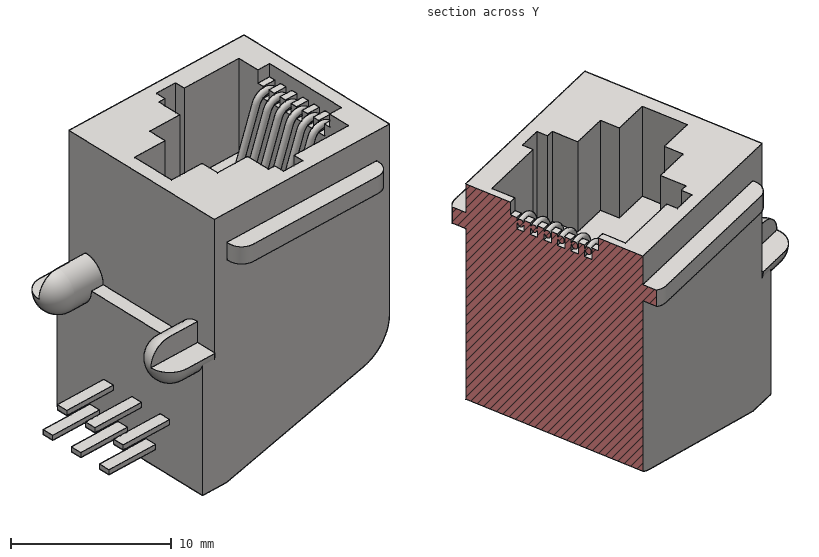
import cadquery as cq
import math


BODY_WIDTH = 13.2
BODY_DEPTH = 15.0
BODY_HEIGHT = 20.57
STEP_Z = 10.4
STEP_DEPTH = 1.0
BOTTOM_FLAT = 2.05
BOTTOM_SLOPE = 15.0
BACK_CORNER_RADIUS = 3.0

FLANGE_SPAN = 15.75
FLANGE_LENGTH = 12.82
FLANGE_HEIGHT = 1.32
FLANGE_TOP_DROP = 2.26
FLANGE_BACK_INSET = 1.11
FLANGE_CORNER_RADIUS = 1.07

PEG_RADIUS = 1.6
PEG_LENGTH = 4.0
PEG_X = 5.08

PIN_WIDTH = 0.86
PIN_THICKNESS = 0.4
PIN_PITCH = 1.28
PIN_COUNT = 6
PIN_TIP_Y = -5.0
PIN_ROOT = 0.1
PIN_ROW_Z = (1.52, 4.07)

CAVITY_DEPTH = 7.14
CAVITY_BACK_Y = 13.02
MAIN_WIDTH = 9.95
MAIN_FRONT_Y = 6.17
EAR_WIDTH = 11.55
EAR_BACK_Y = 8.35
EAR_FRONT_Y = 6.7
SHOULDER_WIDTH = 6.15
SHOULDER_FRONT_Y = 3.6
LATCH_WIDTH = 3.35
LATCH_FRONT_Y = 0.99

RECESS_WIDTH = 6.52
RECESS_BACK_Y = 14.03
RECESS_DEPTH = 1.0
SLOT_WIDTH = 0.51
SLOT_DEPTH = 1.91

WIRE_DIAMETER = 0.5
WIRE_PITCH = 1.0
WIRE_COUNT = 6
WIRE_CREST_DEPTH = 1.2
WIRE_BEND_RADIUS = 0.9
WIRE_SLOPE = 70.0


def box(x_range, y_range, z_range):
    """Box between the given limits."""
    size = [high - low for low, high in (x_range, y_range, z_range)]
    corner = (x_range[0], y_range[0], z_range[0])
    return cq.Workplane("XY").box(*size, centered=False).translate(corner)


def centred_box(width, y_range, z_range):
    """Box centred on X = 0."""
    return box((-width / 2, width / 2), y_range, z_range)


def row_positions(count, pitch):
    """X places of a row centred on X = 0."""
    return [(i - (count - 1) / 2) * pitch for i in range(count)]


def make_body():
    """Side outline across the full width, with the lower back edge rounded."""
    flat_end_y = BOTTOM_FLAT - STEP_DEPTH
    slope_rise = (BODY_DEPTH - flat_end_y) * math.tan(math.radians(BOTTOM_SLOPE))
    side_outline = [
        (-STEP_DEPTH, 0),
        (flat_end_y, 0),
        (BODY_DEPTH, slope_rise),
        (BODY_DEPTH, BODY_HEIGHT),
        (0, BODY_HEIGHT),
        (0, STEP_Z),
        (-STEP_DEPTH, STEP_Z),
    ]
    body = cq.Workplane("YZ").polyline(side_outline).close().extrude(BODY_WIDTH / 2, both=True)
    lower_back_edge = cq.selectors.NearestToPointSelector((0, BODY_DEPTH, slope_rise))
    return body.edges(lower_back_edge).fillet(BACK_CORNER_RADIUS)


def make_flanges():
    """One round-cornered plate through the body, showing as a flange on each side."""
    back_y = BODY_DEPTH - FLANGE_BACK_INSET
    top_z = BODY_HEIGHT - FLANGE_TOP_DROP
    plate = centred_box(FLANGE_SPAN, (back_y - FLANGE_LENGTH, back_y), (top_z - FLANGE_HEIGHT, top_z))
    return plate.edges("|Z").fillet(FLANGE_CORNER_RADIUS)


def make_peg(side):
    """Round-ended peg without its upper outer quarter; side is -1 or 1."""
    shank_length = PEG_LENGTH - PEG_RADIUS
    tip_bulge = PEG_RADIUS * math.sqrt(0.5)
    half_outline = (
        cq.Workplane("XY")
        .moveTo(0, 0)
        .lineTo(side * PEG_RADIUS, 0)
        .lineTo(side * PEG_RADIUS, -shank_length)
        .threePointArc((side * tip_bulge, -shank_length - tip_bulge), (0, -PEG_LENGTH))
        .close()
    )
    peg = half_outline.revolve(270, (0, 0), (0, side))
    return peg.translate((side * PEG_X, 0, STEP_Z))


def make_pins():
    """Two staggered rows of flat pins on the lower front."""
    pins = cq.Workplane("XY")
    pin_y = (PIN_TIP_Y, PIN_ROOT - STEP_DEPTH)
    for i, x in enumerate(row_positions(PIN_COUNT, PIN_PITCH)):
        z = PIN_ROW_Z[i % 2]
        z_range = (z - PIN_THICKNESS / 2, z + PIN_THICKNESS / 2)
        pin = centred_box(PIN_WIDTH, pin_y, z_range)
        pins = pins.add(pin.translate((x, 0, 0)))
    return pins.combine()


def make_opening():
    """Everything removed for the plug: stepped opening, contact recess and wire slots."""
    down_to_floor = (BODY_HEIGHT - CAVITY_DEPTH, BODY_HEIGHT)
    steps = [
        (MAIN_WIDTH, MAIN_FRONT_Y, CAVITY_BACK_Y),
        (EAR_WIDTH, EAR_FRONT_Y, EAR_BACK_Y),
        (SHOULDER_WIDTH, SHOULDER_FRONT_Y, CAVITY_BACK_Y),
        (LATCH_WIDTH, LATCH_FRONT_Y, CAVITY_BACK_Y),
    ]
    recess_y = (CAVITY_BACK_Y, RECESS_BACK_Y)
    opening = centred_box(RECESS_WIDTH, recess_y, (BODY_HEIGHT - RECESS_DEPTH, BODY_HEIGHT))
    for width, front_y, back_y in steps:
        opening = opening.union(centred_box(width, (front_y, back_y), down_to_floor))
    slot = centred_box(SLOT_WIDTH, recess_y, (BODY_HEIGHT - SLOT_DEPTH, BODY_HEIGHT))
    for x in row_positions(WIRE_COUNT, WIRE_PITCH):
        opening = opening.union(slot.translate((x, 0, 0)))
    return opening


def make_wire():
    """Wire on X = 0: up out of the slot floor, over its crest, then straight down to the cavity floor."""
    crest_y = CAVITY_BACK_Y
    bend_center_z = BODY_HEIGHT - WIRE_CREST_DEPTH - WIRE_BEND_RADIUS
    slope = math.radians(WIRE_SLOPE)
    bend_start = (crest_y + WIRE_BEND_RADIUS, bend_center_z)
    bend_crest = (crest_y, bend_center_z + WIRE_BEND_RADIUS)
    bend_end_y = crest_y - WIRE_BEND_RADIUS * math.sin(slope)
    bend_end_z = bend_center_z + WIRE_BEND_RADIUS * math.cos(slope)
    root_z = BODY_HEIGHT - CAVITY_DEPTH - WIRE_DIAMETER
    root_y = bend_end_y - (bend_end_z - root_z) / math.tan(slope)
    path = (
        cq.Workplane("YZ")
        .moveTo(*bend_start)
        .threePointArc(bend_crest, (bend_end_y, bend_end_z))
        .lineTo(root_y, root_z)
    )
    section = cq.Workplane("XY", origin=(0, *bend_start)).circle(WIRE_DIAMETER / 2)
    return section.sweep(path)


result = make_body().union(make_flanges())
for side in (-1, 1):
    result = result.union(make_peg(side))
result = result.union(make_pins()).cut(make_opening())
wire = make_wire()
for wire_x in row_positions(WIRE_COUNT, WIRE_PITCH):
    result = result.union(wire.translate((wire_x, 0, 0)))